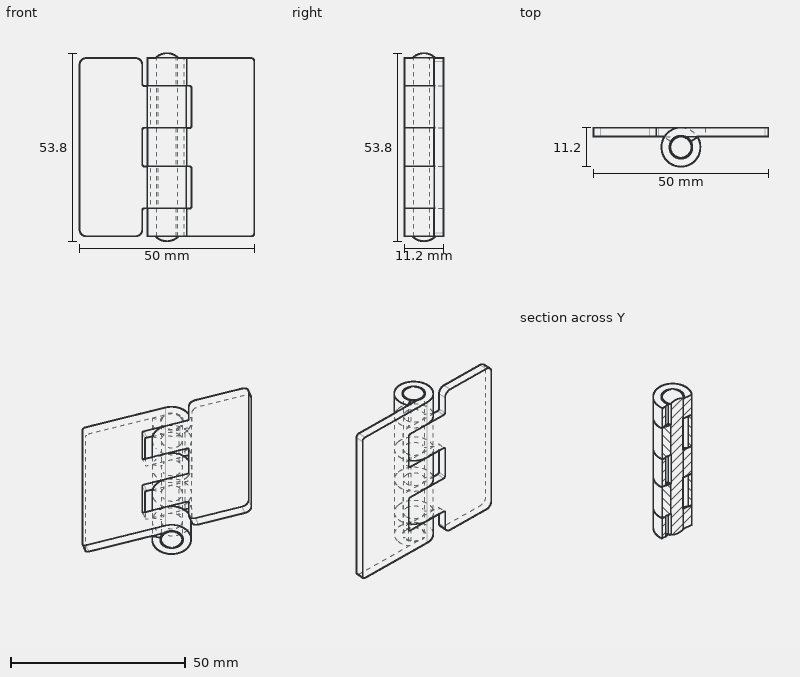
import cadquery as cq
import math


OPEN_WIDTH = 50.0
LEAF_HEIGHT = 51.0
SHEET_THICKNESS = 2.6
PIN_DIAMETER = 6.0
HEAD_DIAMETER = 6.6
HEAD_HEIGHT = 1.4
ROLL_END_ANGLE = 30.5
CENTER_KNUCKLE_HEIGHT = 11.0
SIDE_KNUCKLE_HEIGHT = 12.0
NOTCH_DEPTH = 7.0
NOTCH_FILLET = 0.5
OUTER_KNUCKLE_LEAF_CORNER = 1.0
INNER_KNUCKLE_LEAF_CORNER = 2.0

LEAF_REACH = OPEN_WIDTH / 2
HALF_HEIGHT = LEAF_HEIGHT / 2
BORE_RADIUS = PIN_DIAMETER / 2
HEAD_RADIUS = HEAD_DIAMETER / 2
ROLL_RADIUS = BORE_RADIUS + SHEET_THICKNESS
CENTER_JOINT = CENTER_KNUCKLE_HEIGHT / 2
SIDE_JOINT = CENTER_JOINT + SIDE_KNUCKLE_HEIGHT


def point_on_circle(radius, degrees):
    angle = math.radians(degrees)
    return (radius * math.cos(angle), radius * math.sin(angle))


def rolled_sheet():
    """Full-height sheet reaching toward +X, with its -X end rolled round the pin."""
    middle_angle = (90 + 360 + ROLL_END_ANGLE) / 2
    return (
        cq.Workplane("XY", origin=(0, 0, -HALF_HEIGHT))
        .moveTo(LEAF_REACH, BORE_RADIUS)
        .lineTo(LEAF_REACH, ROLL_RADIUS)
        .lineTo(0, ROLL_RADIUS)
        .threePointArc(
            point_on_circle(ROLL_RADIUS, middle_angle),
            point_on_circle(ROLL_RADIUS, ROLL_END_ANGLE),
        )
        .lineTo(*point_on_circle(BORE_RADIUS, ROLL_END_ANGLE))
        .threePointArc(point_on_circle(BORE_RADIUS, middle_angle), (0, BORE_RADIUS))
        .close()
        .extrude(LEAF_HEIGHT)
    )


def notch(bottom, top):
    """Cutter that removes the roll between two heights and rounds the notch corners."""
    length = ROLL_RADIUS + NOTCH_DEPTH
    return (
        cq.Workplane("XY")
        .box(length, 2 * ROLL_RADIUS, top - bottom, centered=(False, True, False))
        .translate((-ROLL_RADIUS, 0, bottom))
        .edges("|Y and >X")
        .fillet(NOTCH_FILLET)
    )


def leaf(notch_spans, corner_radius):
    """Leaf toward +X whose roll is notched at the given (bottom, top) spans."""
    body = rolled_sheet()
    for bottom, top in notch_spans:
        body = body.cut(notch(bottom, top))
    return body.edges("|Y and (>Z or <Z)").fillet(corner_radius)


def domed_pin():
    """Pin filling the bore, with a slightly wider spherical cap seated on each end of the roll."""
    tip = HALF_HEIGHT + HEAD_HEIGHT
    dome_radius = (HEAD_RADIUS**2 + HEAD_HEIGHT**2) / (2 * HEAD_HEIGHT)
    dome_center = tip - dome_radius
    middle_angle = (90 + math.degrees(math.asin((HALF_HEIGHT - dome_center) / dome_radius))) / 2
    middle_radius, middle_rise = point_on_circle(dome_radius, middle_angle)
    middle_height = dome_center + middle_rise
    return (
        cq.Workplane("XZ")
        .moveTo(0, -tip)
        .threePointArc((middle_radius, -middle_height), (HEAD_RADIUS, -HALF_HEIGHT))
        .lineTo(BORE_RADIUS, -HALF_HEIGHT)
        .lineTo(BORE_RADIUS, HALF_HEIGHT)
        .lineTo(HEAD_RADIUS, HALF_HEIGHT)
        .threePointArc((middle_radius, middle_height), (0, tip))
        .close()
        .revolve(360, (0, 0, 0), (0, 1, 0))
    )


outer_knuckle_leaf = leaf(
    [(-SIDE_JOINT, -CENTER_JOINT), (CENTER_JOINT, SIDE_JOINT)],
    OUTER_KNUCKLE_LEAF_CORNER,
)

past_end = HALF_HEIGHT + NOTCH_FILLET
inner_knuckle_leaf = leaf(
    [(-past_end, -SIDE_JOINT), (-CENTER_JOINT, CENTER_JOINT), (SIDE_JOINT, past_end)],
    INNER_KNUCKLE_LEAF_CORNER,
).mirror("YZ")

pin = domed_pin()

result = cq.Compound.makeCompound(
    [outer_knuckle_leaf.solids().val(), inner_knuckle_leaf.solids().val(), pin.val()]
)